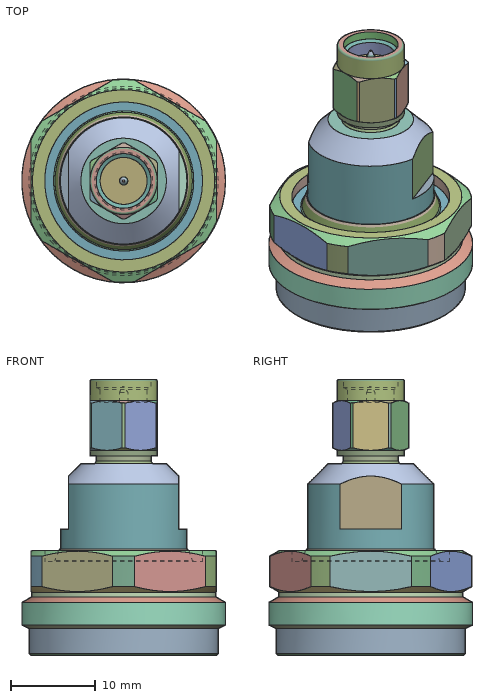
import cadquery as cq
import math


TOTAL_HEIGHT = 32.75
CHAMFER_SLOPE = math.tan(math.radians(30))

SKIRT_RADIUS = 11.23
SKIRT_CHAMFER = 0.23
SKIRT_TOP = 3.18
BAND_DIAMETER = 24.2
BAND_RADIUS = BAND_DIAMETER / 2
BAND_BOTTOM = 3.6
BAND_TOP = 6.3
RELIEF_RADIUS = 10.95

LARGE_NUT_BOTTOM = 7.47
LARGE_NUT_TOP = 12.48
LARGE_NUT_FLATS = 22.0
LARGE_NUT_CORNER_RADIUS = 12.02
LARGE_NUT_FACE_RADIUS = 10.8
RECESS_RADIUS = 9.37
RECESS_FLOOR = 11.17

COLLAR_FOOT_RADIUS = 8.32
COLLAR_FOOT_HEIGHT = 0.1
COLLAR_BASE_RADIUS = 8.15
COLLAR_RIM_RADIUS = 7.8
COLLAR_RIM_Z = 12.3
COLLAR_TOP_RADIUS = 7.6
COLLAR_TOP = 12.6

BODY_RADIUS = 7.5
BODY_TOP = 22.75
SHOULDER_RADIUS = 5.08
BODY_FLATS = 13.1
BODY_FLATS_BOTTOM = 15.0

NECK_RADIUS = 3.28
NECK_FOOT_FLARE = 0.15
NECK_FOOT_HEIGHT = 0.3

SLEEVE_RADIUS = 4.0
SLEEVE_BOTTOM = 23.68
SLEEVE_EDGE_RADIUS = 0.23
SMALL_NUT_BOTTOM = 24.33
SMALL_NUT_TOP = 30.23
SMALL_NUT_FLATS = 2 * SLEEVE_RADIUS
SMALL_NUT_CORNER_RADIUS = 4.52

MOUTH_RADIUS = 3.25
MOUTH_DEPTH = 0.95
SOCKET_RADIUS = 2.8
SOCKET_TAPER_HEIGHT = 0.23
SOCKET_FLOOR = 30.0
PIN_RADIUS = 0.5
PIN_SHOULDER_RADIUS = 0.35
PIN_SHOULDER_BOTTOM = 31.2
PIN_SHOULDER_TOP = 31.45
PIN_TIP_RADIUS = 0.13
PIN_TOP = 31.9


def revolve(profile):
    """Turn a closed outline of (radius, z) points about the Z axis."""
    return cq.Workplane("XZ").polyline(profile).close().revolve(360, (0, 0, 0), (0, 1, 0))


def hex_nut(bottom, top, across_flats, corner_radius, face_radius):
    """Hexagonal nut with flats facing +X and -X, its corners turned and chamfered at both ends."""
    chamfer_height = (corner_radius - face_radius) * CHAMFER_SLOPE
    turned_blank = revolve([
        (0, bottom),
        (face_radius, bottom),
        (corner_radius, bottom + chamfer_height),
        (corner_radius, top - chamfer_height),
        (face_radius, top),
        (0, top),
    ])
    hexagon = (
        cq.Workplane("XY", origin=(0, 0, bottom))
        .polygon(6, across_flats, circumscribed=True)
        .extrude(top - bottom)
    )
    return hexagon.intersect(turned_blank)


def coupling_base():
    """Skirt, wide band with sloped shoulders, and the relief under the large nut."""
    shoulder_height = (BAND_RADIUS - RELIEF_RADIUS) * CHAMFER_SLOPE
    return revolve([
        (0, 0),
        (SKIRT_RADIUS - SKIRT_CHAMFER, 0),
        (SKIRT_RADIUS, SKIRT_CHAMFER),
        (SKIRT_RADIUS, SKIRT_TOP),
        (BAND_RADIUS, BAND_BOTTOM),
        (BAND_RADIUS, BAND_TOP),
        (RELIEF_RADIUS, BAND_TOP + shoulder_height),
        (RELIEF_RADIUS, LARGE_NUT_BOTTOM),
        (0, LARGE_NUT_BOTTOM),
    ])


def large_nut():
    """Large hex nut with a round recess in its top face."""
    nut = hex_nut(LARGE_NUT_BOTTOM, LARGE_NUT_TOP, LARGE_NUT_FLATS,
                  LARGE_NUT_CORNER_RADIUS, LARGE_NUT_FACE_RADIUS)
    recess = (
        cq.Workplane("XY", origin=(0, 0, RECESS_FLOOR))
        .circle(RECESS_RADIUS)
        .extrude(LARGE_NUT_TOP - RECESS_FLOOR)
    )
    return nut.cut(recess)


def body():
    """Collar, body cylinder, 45 degree shoulder and neck, with a wrench flat on each X side."""
    turned = revolve([
        (0, RECESS_FLOOR),
        (COLLAR_FOOT_RADIUS, RECESS_FLOOR),
        (COLLAR_BASE_RADIUS, RECESS_FLOOR + COLLAR_FOOT_HEIGHT),
        (COLLAR_RIM_RADIUS, COLLAR_RIM_Z),
        (COLLAR_TOP_RADIUS, COLLAR_TOP),
        (BODY_RADIUS, COLLAR_TOP),
        (BODY_RADIUS, BODY_TOP - (BODY_RADIUS - SHOULDER_RADIUS)),
        (SHOULDER_RADIUS, BODY_TOP),
        (NECK_RADIUS + NECK_FOOT_FLARE, BODY_TOP),
        (NECK_RADIUS, BODY_TOP + NECK_FOOT_HEIGHT),
        (NECK_RADIUS, SLEEVE_BOTTOM),
        (0, SLEEVE_BOTTOM),
    ])
    flat_depth = BODY_RADIUS - BODY_FLATS / 2
    flat_centre = (BODY_FLATS + flat_depth) / 2
    flat_cutters = (
        cq.Workplane("XY", origin=(0, 0, BODY_FLATS_BOTTOM))
        .pushPoints([(-flat_centre, 0), (flat_centre, 0)])
        .rect(flat_depth, 2 * BODY_RADIUS)
        .extrude(BODY_TOP - BODY_FLATS_BOTTOM)
    )
    return turned.cut(flat_cutters)


def small_nut():
    """Round sleeve carrying the small hex, with the socket sunk into its top."""
    sleeve = (
        cq.Workplane("XY", origin=(0, 0, SLEEVE_BOTTOM))
        .circle(SLEEVE_RADIUS)
        .extrude(TOTAL_HEIGHT - SLEEVE_BOTTOM)
        .faces(">Z")
        .edges()
        .fillet(SLEEVE_EDGE_RADIUS)
    )
    hexagon = hex_nut(SMALL_NUT_BOTTOM, SMALL_NUT_TOP, SMALL_NUT_FLATS,
                      SMALL_NUT_CORNER_RADIUS, SLEEVE_RADIUS)
    mouth_floor = TOTAL_HEIGHT - MOUTH_DEPTH
    socket = revolve([
        (0, SOCKET_FLOOR),
        (SOCKET_RADIUS, SOCKET_FLOOR),
        (SOCKET_RADIUS, mouth_floor - SOCKET_TAPER_HEIGHT),
        (MOUTH_RADIUS, mouth_floor),
        (MOUTH_RADIUS, TOTAL_HEIGHT),
        (0, TOTAL_HEIGHT),
    ])
    return sleeve.union(hexagon).cut(socket)


def centre_pin():
    """Contact pin standing on the socket floor, with a stepped taper to its tip."""
    return revolve([
        (0, SOCKET_FLOOR),
        (PIN_RADIUS, SOCKET_FLOOR),
        (PIN_RADIUS, PIN_SHOULDER_BOTTOM),
        (PIN_SHOULDER_RADIUS, PIN_SHOULDER_TOP),
        (PIN_TIP_RADIUS, PIN_TOP),
        (0, PIN_TOP),
    ])


result = (
    coupling_base()
    .union(large_nut())
    .union(body())
    .union(small_nut())
    .union(centre_pin())
)